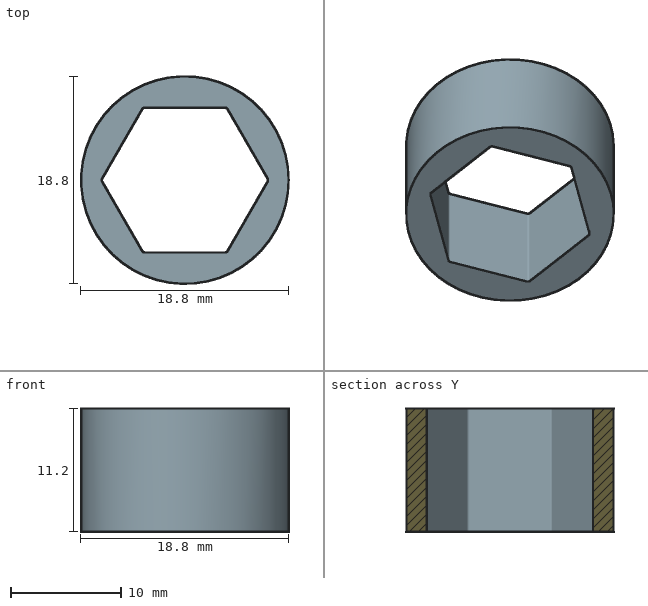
import cadquery as cq
import math

outer_diameter = 18.8
height = 11.18
across_flats = 13.085
corner_radius = 0.254
side_count = 6

across_corners = across_flats / math.cos(math.pi / side_count)


def make_sleeve():
    """Plain round body standing on the XY plane."""
    return cq.Workplane("XY").circle(outer_diameter / 2).extrude(height)


def make_hex_bore():
    """Hexagonal through bore with two corners on the X axis and rounded vertical edges."""
    hexagon = cq.Workplane("XY").polygon(side_count, across_corners).extrude(height)
    return hexagon.edges("|Z").fillet(corner_radius)


result = make_sleeve().cut(make_hex_bore())